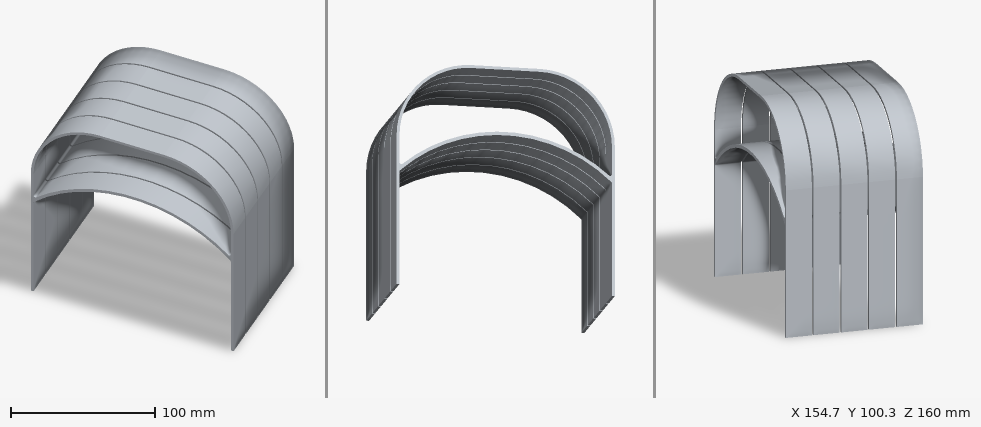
import cadquery as cq

overall_width = 154.7
overall_height = 160.0
overall_depth = 100.3

band_count = 5
band_gap = 1.3
band_depth = (overall_depth - (band_count - 1) * band_gap) / band_count
band_pitch = band_depth + band_gap

wall = 2.0
corner_radius = 53.1
arch_thickness = 2.4
arch_top_radius = 112.5
arch_top_height = 113.4
joint_radius = 1.3

selection_margin = 0.2

arch_center_height = arch_top_height - arch_top_radius


def upright_block(width, depth, height):
    """Box centred on X, standing on Z = 0, running from Y = 0 to +depth."""
    return cq.Workplane("XY").box(width, depth, height, centered=(True, False, False))


def rounded_block(inset):
    """Band silhouette with round upper corners, moved inward at the sides and top."""
    block = upright_block(overall_width - 2 * inset, band_depth, overall_height - inset)
    return block.edges("|Y and >Z").fillet(corner_radius - inset)


def make_shell():
    """Inverted U with a constant wall, open at the bottom."""
    return rounded_block(0).cut(rounded_block(wall))


def arch_cylinder(radius):
    """Cylinder along Y about the arch axis."""
    return (
        cq.Workplane("XZ", origin=(0, 0, arch_center_height))
        .circle(radius)
        .extrude(-band_depth)
    )


def make_arch():
    """Curved web that spans from one leg to the other."""
    ring = arch_cylinder(arch_top_radius).cut(arch_cylinder(arch_top_radius - arch_thickness))
    return ring.intersect(upright_block(overall_width - wall, band_depth, overall_height))


def joint_region(side):
    """Selection box around the inner leg face, below the round corner (side is -1 or +1)."""
    leg_face_x = side * (overall_width / 2 - wall)
    corner_start_height = overall_height - corner_radius
    return cq.selectors.BoxSelector(
        (leg_face_x - selection_margin, 0, selection_margin),
        (leg_face_x + selection_margin, band_depth, corner_start_height - selection_margin),
    )


def make_band():
    """One closed band: the U-shaped shell and its arched web, blended where they join."""
    joined = make_shell().union(make_arch())
    joint_edges = joined.edges("|Y").edges(joint_region(-1) + joint_region(1))
    return joint_edges.fillet(joint_radius)


band = make_band()
first_band_y = -overall_depth / 2
bands = [
    band.translate((0, first_band_y + index * band_pitch, 0)).val()
    for index in range(band_count)
]

result = cq.Compound.makeCompound(bands)